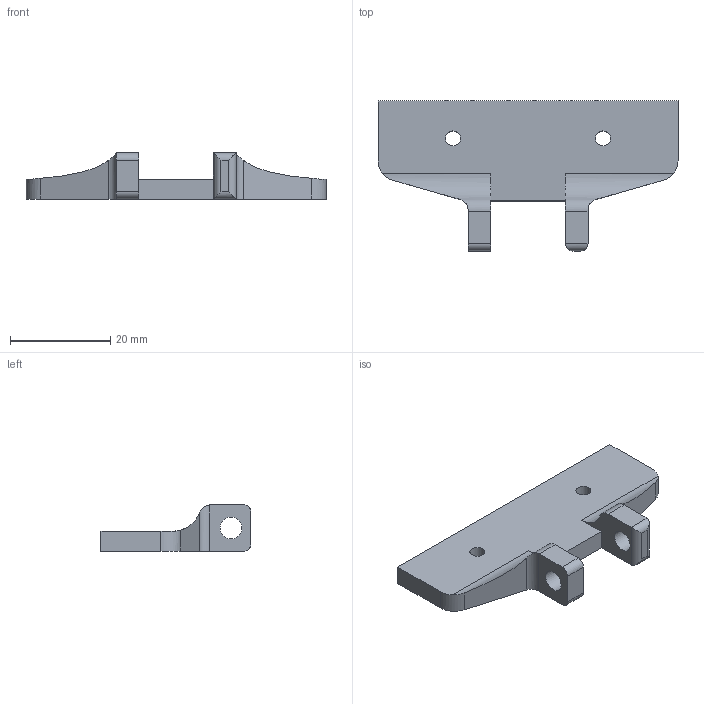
import cadquery as cq
import math

LENGTH = 60.0
DEPTH = 30.0
HEIGHT = 9.26
PLATE_THICKNESS = 4.0

PLATE_DEPTH = 20.0
LUG_GAP = 15.0
LUG_WIDTH = 4.5
SIDE_DEPTH = 15.0
WING_ANGLE = 16.0
END_CORNER_RADIUS = 4.0
LUG_ROOT_RADIUS = 2.0

COVE_RADIUS = 5.5
COVE_START_DEPTH = PLATE_DEPTH - COVE_RADIUS
CREST_RADIUS = 2.5
LUG_TIP_RADIUS = 1.5

MOUNT_HOLE_DIAMETER = 3.0
MOUNT_HOLE_SPACING = 30.0
MOUNT_HOLE_Y = -7.5
PIN_HOLE_DIAMETER = 4.35
PIN_HOLE_Y = -26.0

HALF_LENGTH = LENGTH / 2
LUG_INNER_X = LUG_GAP / 2
LUG_OUTER_X = LUG_INNER_X + LUG_WIDTH


def wing_plan():
    """Full-height block with the plan outline of the +X wing and lug."""
    wing_rise = (HALF_LENGTH - LUG_OUTER_X) * math.tan(math.radians(WING_ANGLE))
    wing_root_y = -SIDE_DEPTH - wing_rise
    block = (
        cq.Workplane("XY")
        .moveTo(LUG_INNER_X, 0)
        .lineTo(HALF_LENGTH, 0)
        .lineTo(HALF_LENGTH, -SIDE_DEPTH)
        .lineTo(LUG_OUTER_X, wing_root_y)
        .lineTo(LUG_OUTER_X, -DEPTH)
        .lineTo(LUG_INNER_X, -DEPTH)
        .close()
        .extrude(HEIGHT)
    )
    end_corner = cq.selectors.NearestToPointSelector((HALF_LENGTH, -SIDE_DEPTH, HEIGHT / 2))
    lug_root = cq.selectors.NearestToPointSelector((LUG_OUTER_X, wing_root_y, HEIGHT / 2))
    block = block.edges(end_corner).fillet(END_CORNER_RADIUS)
    return block.edges(lug_root).fillet(LUG_ROOT_RADIUS)


def wing_side_profile():
    """Side profile: flat plate, concave cove, convex crest, flat lug top."""
    cove_z = PLATE_THICKNESS + COVE_RADIUS
    crest_z = HEIGHT - CREST_RADIUS
    join_angle = math.asin((cove_z - crest_z) / (COVE_RADIUS + CREST_RADIUS))
    crest_y = -COVE_START_DEPTH - (COVE_RADIUS + CREST_RADIUS) * math.cos(join_angle)
    middle_angle = (join_angle + math.pi / 2) / 2

    def cove_point(angle):
        y = -COVE_START_DEPTH - COVE_RADIUS * math.cos(angle)
        z = cove_z - COVE_RADIUS * math.sin(angle)
        return (y, z)

    def crest_point(angle):
        y = crest_y + CREST_RADIUS * math.cos(angle)
        z = crest_z + CREST_RADIUS * math.sin(angle)
        return (y, z)

    return (
        cq.Workplane("YZ")
        .moveTo(0, 0)
        .lineTo(0, PLATE_THICKNESS)
        .lineTo(-COVE_START_DEPTH, PLATE_THICKNESS)
        .threePointArc(cove_point(middle_angle), cove_point(join_angle))
        .threePointArc(crest_point(middle_angle), (crest_y, HEIGHT))
        .lineTo(-DEPTH, HEIGHT)
        .lineTo(-DEPTH, 0)
        .close()
        .extrude(HALF_LENGTH)
    )


def wings():
    """Both wings; the +X lug tip is rounded all round, the -X one only at top and bottom."""
    plain_wing = wing_plan().intersect(wing_side_profile())
    right_wing = plain_wing.faces("<Y").edges().fillet(LUG_TIP_RADIUS)
    left_wing = plain_wing.mirror("YZ").faces("<Y").edges("|X").fillet(LUG_TIP_RADIUS)
    return right_wing.union(left_wing)


def centre_plate():
    """Flat plate filling the gap between the wings."""
    plate = cq.Workplane("XY").box(LUG_GAP, PLATE_DEPTH, PLATE_THICKNESS, centered=(True, False, False))
    return plate.translate((0, -PLATE_DEPTH, 0))


def mount_holes():
    """Two screw holes through the plate."""
    half_spacing = MOUNT_HOLE_SPACING / 2
    return (
        cq.Workplane("XY")
        .pushPoints([(-half_spacing, MOUNT_HOLE_Y), (half_spacing, MOUNT_HOLE_Y)])
        .circle(MOUNT_HOLE_DIAMETER / 2)
        .extrude(PLATE_THICKNESS)
    )


def pin_hole():
    """Pin bore along X through both lugs, at mid height."""
    return (
        cq.Workplane("YZ")
        .center(PIN_HOLE_Y, HEIGHT / 2)
        .circle(PIN_HOLE_DIAMETER / 2)
        .extrude(LUG_OUTER_X, both=True)
    )


result = wings().union(centre_plate()).clean().cut(mount_holes()).cut(pin_hole())